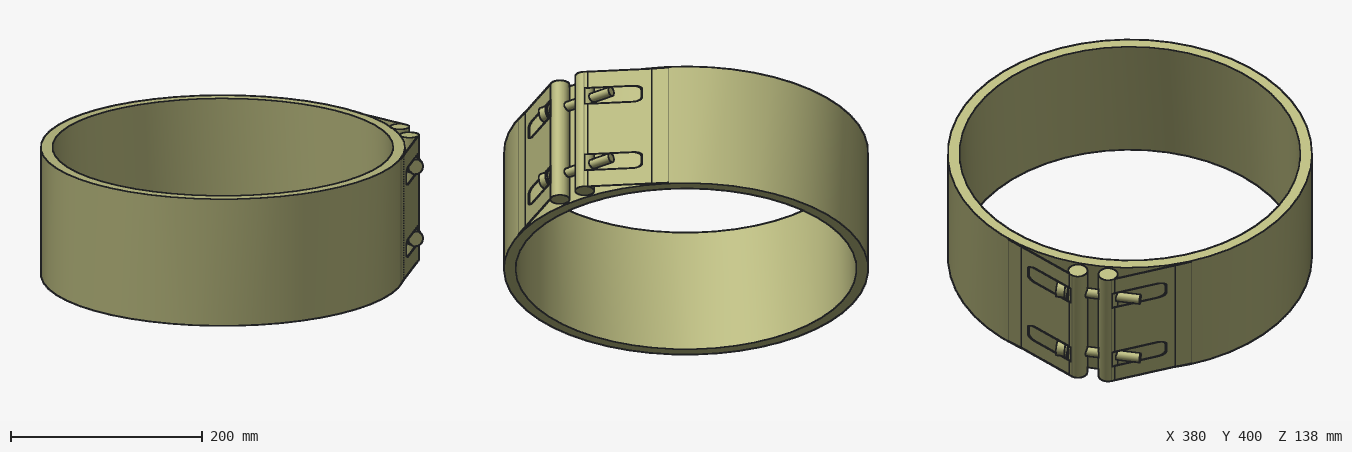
import cadquery as cq
import math

RING_DIAMETER = 380
BORE_DIAMETER = 355.5
RING_HEIGHT = 138.0
RING_RADIUS = RING_DIAMETER / 2

PIN_DIAMETER = 20
PIN_RADIUS = PIN_DIAMETER / 2
PIN_OFFSET = 16
PIN_Y = RING_RADIUS + PIN_RADIUS
CLAMP_HEIGHT = 135.5

STRAP_THICKNESS = 0.8
SLOT_HEIGHT = 18.8
SLOT_Y_MIN = 177.0
SLOT_Y_MAX = 208
SLOT_CORNER_RADIUS = 4.8

BOLT_Y = 199.5
BOLT_Z = 39.0
BOLT_DIAMETER = 10.0
BOLT_TIP_X = -50.0
WASHER_DIAMETER = 18.0
WASHER_THICKNESS = 2.8
HEAD_DIAMETER = 16
HEAD_LENGTH = 9.0
WASHER_X = PIN_OFFSET + PIN_RADIUS
HEAD_X = WASHER_X + WASHER_THICKNESS


def make_ring():
    return (
        cq.Workplane("XY")
        .circle(RING_RADIUS)
        .circle(BORE_DIAMETER / 2)
        .extrude(RING_HEIGHT / 2, both=True)
    )


def make_pin(side):
    return (
        cq.Workplane("XY")
        .center(side * PIN_OFFSET, PIN_Y)
        .circle(PIN_RADIUS)
        .extrude(CLAMP_HEIGHT / 2, both=True)
    )


def make_strap(side):
    """Flat strap on the common outer tangent of ring and pin, with a slot for each bolt."""
    centre_distance = math.hypot(PIN_OFFSET, PIN_Y)
    lean = math.acos((RING_RADIUS - PIN_RADIUS) / centre_distance)
    tangent_angle = math.atan2(PIN_OFFSET, PIN_Y) + lean
    normal_x = side * math.sin(tangent_angle)
    normal_y = math.cos(tangent_angle)

    def beside_ring(radius):
        return (radius * normal_x, radius * normal_y)

    def beside_pin(radius):
        return (side * PIN_OFFSET + radius * normal_x, PIN_Y + radius * normal_y)

    strap = (
        cq.Workplane("XY")
        .polyline([
            beside_ring(RING_RADIUS),
            beside_pin(PIN_RADIUS),
            beside_pin(PIN_RADIUS - STRAP_THICKNESS),
            beside_ring(RING_RADIUS - STRAP_THICKNESS),
        ])
        .close()
        .extrude(CLAMP_HEIGHT / 2, both=True)
    )
    slots = (
        cq.Workplane("YZ")
        .pushPoints([((SLOT_Y_MIN + SLOT_Y_MAX) / 2, z) for z in (-BOLT_Z, BOLT_Z)])
        .rect(SLOT_Y_MAX - SLOT_Y_MIN, SLOT_HEIGHT)
        .extrude(RING_RADIUS, both=True)
        .edges("|X")
        .edges("<Y")
        .fillet(SLOT_CORNER_RADIUS)
    )
    return strap.cut(slots)


def make_bolt_section(z, start_x, length, diameter):
    return (
        cq.Workplane("YZ", origin=(start_x, BOLT_Y, z))
        .circle(diameter / 2)
        .extrude(length)
    )


def make_bolt(z):
    shank = make_bolt_section(z, BOLT_TIP_X, HEAD_X - BOLT_TIP_X, BOLT_DIAMETER)
    washer = make_bolt_section(z, WASHER_X, WASHER_THICKNESS, WASHER_DIAMETER)
    head = make_bolt_section(z, HEAD_X, HEAD_LENGTH, HEAD_DIAMETER)
    return shank.union(washer).union(head)


result = make_ring()
for side in (-1, 1):
    result = result.union(make_strap(side)).union(make_pin(side))
for z in (-BOLT_Z, BOLT_Z):
    result = result.union(make_bolt(z))